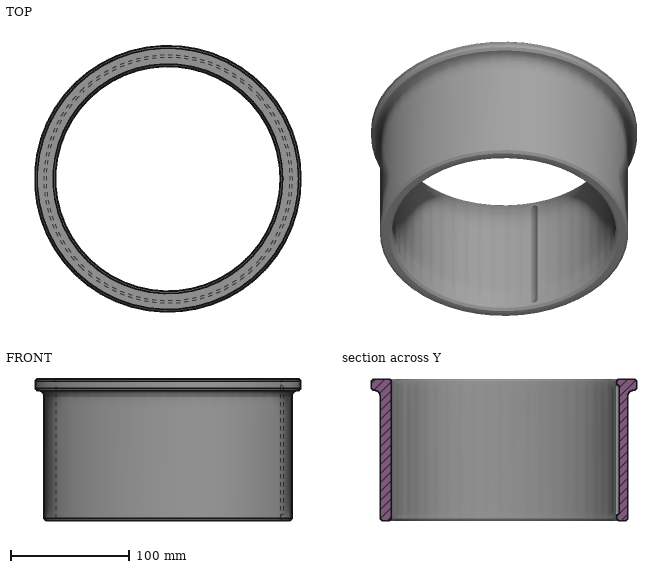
import cadquery as cq
import math

height = 120.0
bore_diameter = 190.0
sleeve_diameter = 210.0
flange_diameter = 225.0
flange_thickness = 10.0
edge_chamfer = 2.0
neck_fillet_radius = 4.5
groove_radius = 2.5
groove_end_margin = 5.0

bore_radius = bore_diameter / 2
sleeve_radius = sleeve_diameter / 2
flange_radius = flange_diameter / 2
flange_underside = height - flange_thickness


def wall_section():
    """Radial half-section of the flanged sleeve, drawn with local x = radius and local y = height."""
    fillet_arc_reach = neck_fillet_radius * (1 - math.sqrt(0.5))
    fillet_middle = (sleeve_radius + fillet_arc_reach, flange_underside - fillet_arc_reach)
    return (
        cq.Workplane("XZ")
        .moveTo(bore_radius, edge_chamfer)
        .lineTo(bore_radius + edge_chamfer, 0)
        .lineTo(sleeve_radius - edge_chamfer, 0)
        .lineTo(sleeve_radius, edge_chamfer)
        .lineTo(sleeve_radius, flange_underside - neck_fillet_radius)
        .threePointArc(fillet_middle, (sleeve_radius + neck_fillet_radius, flange_underside))
        .lineTo(flange_radius - edge_chamfer, flange_underside)
        .lineTo(flange_radius, flange_underside + edge_chamfer)
        .lineTo(flange_radius, height - edge_chamfer)
        .lineTo(flange_radius - edge_chamfer, height)
        .lineTo(bore_radius + edge_chamfer, height)
        .lineTo(bore_radius, height - edge_chamfer)
        .close()
    )


def bore_groove():
    """Cutter for the lengthwise oil groove: a rod with ball ends, centred on the bore wall at +X."""
    lower_ball_height = groove_end_margin + groove_radius
    upper_ball_height = height - groove_end_margin - groove_radius
    cutter = (
        cq.Workplane("XY", origin=(bore_radius, 0, lower_ball_height))
        .circle(groove_radius)
        .extrude(upper_ball_height - lower_ball_height)
    )
    for ball_height in (lower_ball_height, upper_ball_height):
        ball = cq.Workplane("XY").sphere(groove_radius).translate((bore_radius, 0, ball_height))
        cutter = cutter.union(ball)
    return cutter


sleeve = wall_section().revolve(360, (0, 0, 0), (0, 1, 0))
result = sleeve.cut(bore_groove())